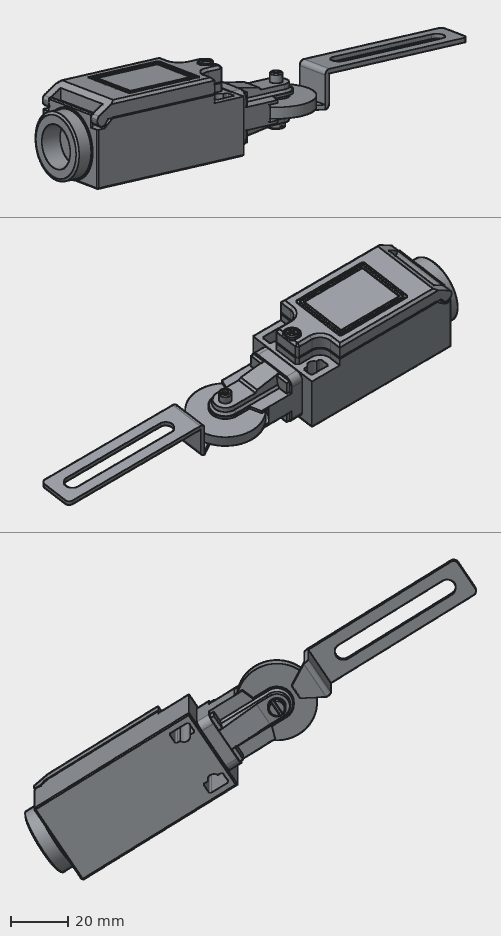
import cadquery as cq
import math

TOTAL_LENGTH = 176.7
OVERLAP = 1.8

BODY_WIDTH = 31.5
BODY_HALF = BODY_WIDTH / 2
BODY_FRONT = 6.2
BODY_BACK = 71.0
BODY_EDGE = 0.5
DECK_Z = 21.9
SEAM_Z = 25.1
SEAM_DEPTH = 0.2
SEAM_HEIGHT = 0.4
COVER_Z = 31.3
COVER_EDGE = 1.0

COVER_SHOULDER = 58.1
NECK_HALF = 6.0
NECK_BACK = 69.5
NECK_EDGE = 0.9
NECK_RADIUS = 4.6
SLOPE_TOP_Y = 14.0
SLOPE_LOW_Y = 6.9
SLOPE_LOW_Z = 26.9
LUG_LOW_Z = 22.8
LUG_RADIUS = 2.1
LUG_GAP_HALF = 12.0
POCKET_BACK = 11.3
NOTCH_BACK = 13.0
NOTCH_FLOOR_BACK = 9.2
LIP_THICKNESS = 0.9
LIP_EDGE = 0.5
LIP_Z = 27.0
TROUGH_LOW_Z = 24.5
TROUGH_BACK_Z = 24.7
TROUGH_UNDERSIDE_Z = 24.0

LABEL_Y = 38.9
LABEL_HALF_X = 12.0
LABEL_HALF_Y = 15.7
LABEL_STEP = 1.0
LABEL_CORNER = 0.7
LABEL_DEPTH = 0.4

MOUNT_X = 11.0
MOUNT_Y = 65.0
MOUNT_WIDTH = 4.2
MOUNT_LENGTH = 8.0
MOUNT_CORNER = 0.7
MOUNT_BUMP_X = 9.7
MOUNT_BUMP_RADIUS = 2.3
SCREW_Y = 66.6
SCREW_RADIUS = 2.5
SCREW_TOP = 32.2
SCREW_EDGE = 0.5
SCREW_SEAT_RADIUS = 3.2
SCREW_SEAT_DEPTH = 0.5
CROSS_LENGTH = 3.0
CROSS_WIDTH = 0.7
CROSS_DEPTH = 0.5

GLAND_Z = 13.0
GLAND_RADIUS = 12.5
GLAND_EDGE = 0.5
GLAND_FACE_EDGE = 1.0
GLAND_BORE_RADIUS = 8.1
GLAND_BORE_DEPTH = 8.1
COLLAR_RADIUS = 13.0
COLLAR_THICKNESS = 0.4

HEAD_Z = 11.5
HEAD_HALF = 10.6
HEAD_HALF_Z = 10.2
HEAD_FRONT = 76.0
HEAD_CORNER = 3.0
PAD_HALF = 9.5
PAD_LENGTH = 1.5
PAD_HALF_Z = 9.2
NECK_BLOCK_HALF_Z = 4.0
NECK_BLOCK_END = 87.6

PIN_Y = 97.5
PLATE_LOW = 3.2
PLATE_HIGH = 4.2
PLATE_WIDE_END = 90.0
PLATE_TAPER_END = 91.5
PLATE_HALF = 6.0
RIB_HALF = 4.8
RIB_FOOT_HALF = 5.7
RIB_FOOT_HIGH = 5.3
RIB_HIGH = 7.0
RIB_STEP_HIGH = 8.0
RIB_ROOT_HIGH = 9.7
RIB_STEP_Y = 86.5
RIB_RAMP_Y = 91.9
RIB_STEP_LENGTH = 0.9
RIB_TAPER = 9.0

ROLLER_RADIUS = 14.1
ROLLER_LOW = 9.2
ROLLER_HIGH = 13.5
ROLLER_CLEARANCE = 1.0
HUB_RADIUS = 4.8
PIN_RADIUS = 2.3
PIN_LOW = 1.8
PIN_HIGH = 22.0
PIN_EDGE = 0.5
PIN_HEAD_RADIUS = 3.2
PIN_HEAD_HEIGHT = 2.3
PIN_SLOT = 1.0
PIN_SOCKET_RADIUS = 1.0
PIN_SOCKET_DEPTH = 1.0

STRIP_WIDTH = 14.7
STRIP_THICKNESS = 1.8
STRIP_TOP = 21.5
STRIP_LOW = 6.9
STRIP_BEND_Y = 113.6
STRIP_CORNER = 1.8
BEND_RADIUS = 2.0
SLOT_WIDTH = 6.0
SLOT_START = 122.3
SLOT_END = 171.5
FOOT_END = 105.5
FOOT_END_HALF = 2.7


def block(x0, x1, y0, y1, z0, z1):
    return cq.Workplane("XY").box(x1 - x0, y1 - y0, z1 - z0, centered=False).translate((x0, y0, z0))


def cylinder(x, y, z0, z1, radius):
    return cq.Workplane("XY").center(x, y).circle(radius).extrude(z1 - z0).translate((0, 0, z0))


def side_profile(sketch, half_width):
    """Extrude a closed (Y, Z) outline symmetrically along X."""
    return sketch.close().extrude(half_width, both=True)


def both_sides(shape):
    return shape.union(shape.mirror("YZ"))


def make_body():
    body = block(-BODY_HALF, BODY_HALF, BODY_FRONT, BODY_BACK, 0, SEAM_Z)
    body = body.edges("<Z or (|Z and <Y)").chamfer(BODY_EDGE)
    deck = block(-BODY_HALF, BODY_HALF, COVER_SHOULDER, BODY_BACK, DECK_Z, SEAM_Z)
    body = body.cut(deck)
    notch = side_profile(
        cq.Workplane("YZ").moveTo(NOTCH_BACK, SEAM_Z).lineTo(NOTCH_FLOOR_BACK, DECK_Z)
        .lineTo(0, DECK_Z).lineTo(0, SEAM_Z),
        BODY_WIDTH,
    )
    return body.cut(notch)


def cover_outline():
    """Plan of the cover: full width with a narrow neck joined by concave arcs."""
    arc_x = NECK_HALF + NECK_RADIUS
    arc_y = COVER_SHOULDER + NECK_RADIUS
    mid = NECK_RADIUS * math.sqrt(0.5)
    return (
        cq.Workplane("XY").moveTo(-BODY_HALF, BODY_FRONT).lineTo(BODY_HALF, BODY_FRONT)
        .lineTo(BODY_HALF, COVER_SHOULDER).lineTo(arc_x, COVER_SHOULDER)
        .threePointArc((arc_x - mid, arc_y - mid), (NECK_HALF, arc_y))
        .lineTo(NECK_HALF, NECK_BACK).lineTo(-NECK_HALF, NECK_BACK).lineTo(-NECK_HALF, arc_y)
        .threePointArc((-arc_x + mid, arc_y - mid), (-arc_x, COVER_SHOULDER))
        .lineTo(-BODY_HALF, COVER_SHOULDER).close()
    )


def make_cover():
    cover = cover_outline().extrude(COVER_Z - DECK_Z).translate((0, 0, DECK_Z))
    cover = cover.edges("|Z and >Y").chamfer(NECK_EDGE)
    cover = cover.faces(">Z").edges().chamfer(COVER_EDGE)
    slope_edge = (
        cq.Workplane("YZ").moveTo(TOTAL_LENGTH, COVER_Z).lineTo(SLOPE_TOP_Y, COVER_Z)
        .lineTo(SLOPE_LOW_Y, SLOPE_LOW_Z)
        .radiusArc((BODY_FRONT, LUG_LOW_Z + LUG_RADIUS), -LUG_RADIUS)
        .radiusArc((BODY_FRONT + LUG_RADIUS, LUG_LOW_Z), -LUG_RADIUS)
        .lineTo(NOTCH_FLOOR_BACK, LUG_LOW_Z).lineTo(NOTCH_BACK - LUG_RADIUS, SEAM_Z)
        .lineTo(COVER_SHOULDER - COVER_EDGE, SEAM_Z).lineTo(COVER_SHOULDER - COVER_EDGE, DECK_Z)
        .lineTo(TOTAL_LENGTH, DECK_Z)
    )
    cover = cover.intersect(side_profile(slope_edge, BODY_WIDTH))
    pocket = block(-LUG_GAP_HALF, LUG_GAP_HALF, 0, POCKET_BACK, DECK_Z, COVER_Z)
    return cover.cut(pocket)


def make_lip():
    """Lip between the two lugs, with a shallow trough behind it as the pocket's floor."""
    lip_back = BODY_FRONT + LIP_THICKNESS
    return side_profile(
        cq.Workplane("YZ").moveTo(BODY_FRONT, DECK_Z).lineTo(BODY_FRONT, LIP_Z - LIP_EDGE)
        .lineTo(BODY_FRONT + LIP_EDGE, LIP_Z).lineTo(lip_back, LIP_Z)
        .threePointArc(((lip_back + POCKET_BACK) / 2, TROUGH_LOW_Z), (POCKET_BACK, TROUGH_BACK_Z))
        .lineTo(POCKET_BACK, TROUGH_UNDERSIDE_Z).lineTo(lip_back, TROUGH_UNDERSIDE_Z)
        .lineTo(lip_back, DECK_Z),
        LUG_GAP_HALF,
    )


def make_seam_groove():
    """Thin groove round the sides and neck where the cover meets the body."""
    low = SEAM_Z - SEAM_HEIGHT / 2
    outline = cover_outline().extrude(SEAM_HEIGHT)
    core = cover_outline().offset2D(-SEAM_DEPTH).extrude(SEAM_HEIGHT)
    front = block(-BODY_HALF, BODY_HALF, 0, NOTCH_BACK, 0, SEAM_HEIGHT)
    return outline.cut(core).cut(front).translate((0, 0, low))


def label_block(inset):
    half_x = LABEL_HALF_X - inset
    half_y = LABEL_HALF_Y - inset
    return block(
        -half_x, half_x, LABEL_Y - half_y, LABEL_Y + half_y, COVER_Z - LABEL_DEPTH, COVER_Z
    )


def make_label_recess():
    """Sunken label panel inside a rim level with the cover, with a groove round the rim."""
    groove = label_block(0).edges("|Z").fillet(LABEL_CORNER).cut(label_block(LABEL_STEP))
    return groove.union(label_block(2 * LABEL_STEP))


def make_mount_holes():
    hole = block(
        MOUNT_X - MOUNT_WIDTH / 2, MOUNT_X + MOUNT_WIDTH / 2,
        MOUNT_Y - MOUNT_LENGTH / 2, MOUNT_Y + MOUNT_LENGTH / 2, 0, DECK_Z,
    ).edges("|Z").fillet(MOUNT_CORNER)
    return both_sides(hole.union(cylinder(MOUNT_BUMP_X, MOUNT_Y, 0, DECK_Z, MOUNT_BUMP_RADIUS)))


def make_screw():
    screw = cylinder(0, SCREW_Y, DECK_Z, SCREW_TOP, SCREW_RADIUS).faces(">Z").chamfer(SCREW_EDGE)
    cross = cq.Workplane("XY", origin=(0, SCREW_Y, SCREW_TOP))
    for length, width in ((CROSS_LENGTH, CROSS_WIDTH), (CROSS_WIDTH, CROSS_LENGTH)):
        screw = screw.cut(cross.rect(length, width).extrude(-CROSS_DEPTH))
    return screw


def make_gland():
    axis = cq.Workplane("XZ", origin=(0, 0, GLAND_Z))
    gland = axis.circle(GLAND_RADIUS).extrude(-BODY_FRONT)
    gland = gland.faces("<Y").edges().chamfer(GLAND_EDGE, GLAND_FACE_EDGE)
    collar_face = cq.Workplane("XZ", origin=(0, BODY_FRONT - COLLAR_THICKNESS, GLAND_Z))
    return gland.union(collar_face.circle(COLLAR_RADIUS).extrude(-COLLAR_THICKNESS))


def make_gland_bore():
    return cq.Workplane("XZ", origin=(0, 0, GLAND_Z)).circle(GLAND_BORE_RADIUS).extrude(-GLAND_BORE_DEPTH)


def make_head():
    half = HEAD_HALF
    head = block(-half, half, BODY_BACK - OVERLAP, HEAD_FRONT, HEAD_Z - HEAD_HALF_Z, HEAD_Z + HEAD_HALF_Z)
    head = head.edges("|Y").fillet(HEAD_CORNER)
    pad = block(
        -PAD_HALF, PAD_HALF, HEAD_FRONT, HEAD_FRONT + PAD_LENGTH,
        HEAD_Z - PAD_HALF_Z, HEAD_Z + PAD_HALF_Z,
    )
    neck = block(
        -half, half, HEAD_FRONT, NECK_BLOCK_END,
        HEAD_Z - NECK_BLOCK_HALF_Z, HEAD_Z + NECK_BLOCK_HALF_Z,
    )
    gap = cylinder(0, PIN_Y, HEAD_Z - PLATE_LOW, HEAD_Z + PLATE_LOW, ROLLER_RADIUS + ROLLER_CLEARANCE)
    return head.union(pad).union(neck).cut(gap)


def rounded_bar(half, z):
    """Plan of a bar running from the head to a round end about the pin."""
    return (
        cq.Workplane("XY", origin=(0, 0, z)).moveTo(-half, HEAD_FRONT - OVERLAP)
        .lineTo(half, HEAD_FRONT - OVERLAP).lineTo(half, PIN_Y)
        .threePointArc((0, PIN_Y + half), (-half, PIN_Y)).close()
    )


def make_arm(stepped):
    """Upper fork arm about the middle plane Z = 0: a flat plate with a tapered rib on it."""
    plate = (
        cq.Workplane("XY").moveTo(-HEAD_HALF, HEAD_FRONT).lineTo(HEAD_HALF, HEAD_FRONT)
        .lineTo(HEAD_HALF, PLATE_WIDE_END).lineTo(PLATE_HALF, PLATE_TAPER_END)
        .lineTo(PLATE_HALF, PIN_Y).threePointArc((0, PIN_Y + PLATE_HALF), (-PLATE_HALF, PIN_Y))
        .lineTo(-PLATE_HALF, PLATE_TAPER_END).lineTo(-HEAD_HALF, PLATE_WIDE_END).close()
        .extrude(PLATE_HIGH - PLATE_LOW).translate((0, 0, PLATE_LOW))
    )
    foot_height = RIB_FOOT_HIGH - PLATE_HIGH
    foot_taper = math.degrees(math.atan((RIB_FOOT_HALF - RIB_HALF) / foot_height))
    foot = rounded_bar(RIB_FOOT_HALF, PLATE_HIGH).extrude(foot_height, taper=foot_taper)
    rib = rounded_bar(RIB_HALF, RIB_FOOT_HIGH).extrude(RIB_ROOT_HIGH - RIB_FOOT_HIGH, taper=RIB_TAPER)
    ramp = cq.Workplane("YZ").moveTo(0, 0).lineTo(0, RIB_ROOT_HIGH).lineTo(HEAD_FRONT, RIB_ROOT_HIGH)
    if stepped:
        ramp = ramp.lineTo(RIB_STEP_Y, RIB_STEP_HIGH).lineTo(RIB_STEP_Y + RIB_STEP_LENGTH, RIB_HIGH)
    else:
        ramp = ramp.lineTo(RIB_RAMP_Y, RIB_HIGH)
    ramp = ramp.lineTo(TOTAL_LENGTH, RIB_HIGH).lineTo(TOTAL_LENGTH, 0)
    return plate.union(foot).union(rib.intersect(side_profile(ramp, BODY_WIDTH)))


def make_fork():
    upper = make_arm(stepped=True).translate((0, 0, HEAD_Z))
    lower = make_arm(stepped=False).mirror("XY").translate((0, 0, HEAD_Z))
    return make_head().union(upper).union(lower)


def make_roller():
    roller = cylinder(0, PIN_Y, ROLLER_LOW, ROLLER_HIGH, ROLLER_RADIUS)
    hub = cylinder(0, PIN_Y, HEAD_Z - PLATE_LOW, HEAD_Z + PLATE_LOW, HUB_RADIUS)
    return roller.union(hub)


def make_pin():
    shank = cylinder(0, PIN_Y, PIN_LOW, PIN_HIGH, PIN_RADIUS).faces(">Z").chamfer(PIN_EDGE)
    head = cylinder(0, PIN_Y, PIN_LOW, PIN_LOW + PIN_HEAD_HEIGHT, PIN_HEAD_RADIUS)
    head = head.faces("<Z").chamfer(PIN_EDGE)
    slot = block(
        -PIN_HEAD_RADIUS, PIN_HEAD_RADIUS, PIN_Y - PIN_SLOT / 2, PIN_Y + PIN_SLOT / 2,
        PIN_LOW, PIN_LOW + PIN_SLOT,
    )
    socket = cylinder(0, PIN_Y, PIN_HIGH - PIN_SOCKET_DEPTH, PIN_HIGH, PIN_SOCKET_RADIUS)
    return shank.union(head).cut(slot).cut(socket)


def make_bracket():
    """Z-bent strip: slotted top leg, upright and a tapered foot riveted under the roller."""
    half = STRIP_WIDTH / 2
    upright_far = STRIP_BEND_Y + STRIP_THICKNESS
    strip = side_profile(
        cq.Workplane("YZ").moveTo(FOOT_END, STRIP_LOW).lineTo(upright_far, STRIP_LOW)
        .lineTo(upright_far, STRIP_TOP - STRIP_THICKNESS)
        .lineTo(TOTAL_LENGTH, STRIP_TOP - STRIP_THICKNESS).lineTo(TOTAL_LENGTH, STRIP_TOP)
        .lineTo(STRIP_BEND_Y, STRIP_TOP).lineTo(STRIP_BEND_Y, STRIP_LOW + STRIP_THICKNESS)
        .lineTo(FOOT_END, STRIP_LOW + STRIP_THICKNESS),
        half,
    )
    for y, z in ((STRIP_BEND_Y, STRIP_TOP), (upright_far, STRIP_LOW)):
        strip = strip.edges(cq.selectors.NearestToPointSelector((0, y, z))).fillet(BEND_RADIUS)
    plan = (
        cq.Workplane("XY").moveTo(-half, TOTAL_LENGTH).lineTo(half, TOTAL_LENGTH)
        .lineTo(half, STRIP_BEND_Y).lineTo(FOOT_END_HALF, FOOT_END)
        .lineTo(-FOOT_END_HALF, FOOT_END).lineTo(-half, STRIP_BEND_Y).close()
        .extrude(STRIP_TOP).edges("|Z and >Y").fillet(STRIP_CORNER)
    )
    slot = (
        cq.Workplane("XY").center(0, (SLOT_START + SLOT_END) / 2)
        .slot2D(SLOT_END - SLOT_START, SLOT_WIDTH, 90).extrude(STRIP_TOP)
    )
    rivet = cylinder(0, FOOT_END + FOOT_END_HALF, STRIP_LOW, ROLLER_LOW, FOOT_END_HALF)
    return strip.intersect(plan).cut(slot).union(rivet)


housing = make_body().union(make_cover()).union(make_lip())
housing = housing.cut(make_seam_groove()).cut(make_label_recess()).cut(make_mount_holes())
housing = housing.cut(cylinder(0, SCREW_Y, COVER_Z - SCREW_SEAT_DEPTH, COVER_Z, SCREW_SEAT_RADIUS))
housing = housing.union(make_screw()).union(make_gland()).cut(make_gland_bore())

result = housing.union(make_fork()).union(make_roller()).union(make_pin()).union(make_bracket())